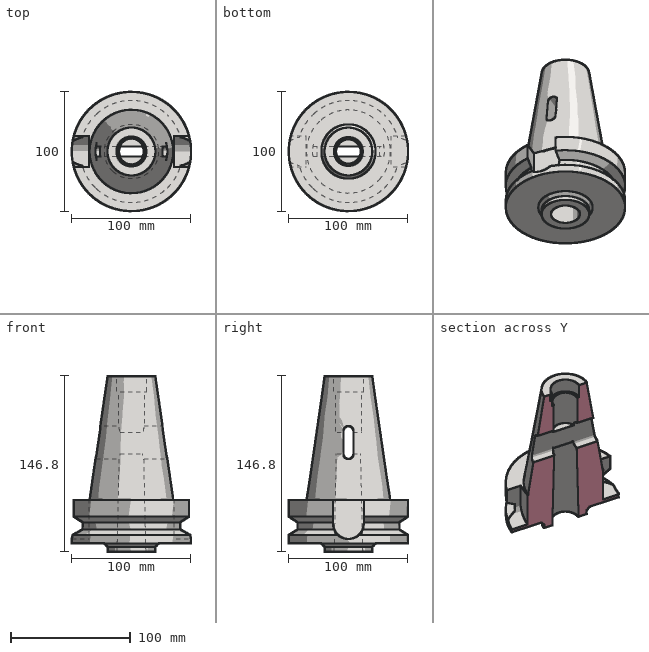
import cadquery as cq

total_height = 146.8
flange_diameter = 100.0
taper_large_diameter = 69.9
taper_ratio = 7 / 24

collar_top = 4.0
flange_bottom = 7.0
lower_rim_top = 14.1
groove_floor_bottom = 18.6
groove_floor_top = 24.7
upper_rim_bottom = 29.4
flange_top = 43.3
taper_start = 44.6

collar_diameter = 40.0
collar_cone_diameter = 45.5
groove_diameter = 85.6

keyway_width = 25.7
keyway_bottom = 10.7
keyway_floor_distance = 35.5

upper_bore_diameter = 25.0
upper_bore_depth = 13.2
lower_bore_diameter = 21.7
lower_bore_bottom = 99.8
socket_mouth_diameter = 24.1
socket_end_diameter = 20.4

slot_width = 8.2
slot_bottom = 77.7
slot_top = 105.0


def make_body():
    taper_small_diameter = taper_large_diameter - taper_ratio * (total_height - taper_start)
    profile = [
        (collar_diameter, 0),
        (collar_diameter, collar_top),
        (collar_cone_diameter, flange_bottom),
        (flange_diameter, flange_bottom),
        (flange_diameter, lower_rim_top),
        (groove_diameter, groove_floor_bottom),
        (groove_diameter, groove_floor_top),
        (flange_diameter, upper_rim_bottom),
        (flange_diameter, flange_top),
        (taper_large_diameter, flange_top),
        (taper_large_diameter, taper_start),
        (taper_small_diameter, total_height),
    ]
    outline = cq.Workplane("XZ").moveTo(0, 0)
    for diameter, level in profile:
        outline = outline.lineTo(diameter / 2, level)
    return outline.lineTo(0, total_height).close().revolve(360, (0, 0, 0), (0, 1, 0))


def make_keyway(side):
    """U-shaped cutter open at the top of the flange; side is -1 or 1 along X."""
    radius = keyway_width / 2
    arc_level = keyway_bottom + radius
    cutter_length = flange_diameter / 2
    return (
        cq.Workplane("YZ", origin=(side * keyway_floor_distance, 0, 0))
        .moveTo(-radius, flange_top)
        .lineTo(-radius, arc_level)
        .threePointArc((0, keyway_bottom), (radius, arc_level))
        .lineTo(radius, flange_top)
        .close()
        .extrude(side * cutter_length)
    )


def make_bores():
    """Stepped bore from the top and tapered socket from the bottom."""
    upper_bore_bottom = total_height - upper_bore_depth
    upper_bore = (
        cq.Workplane("XY", origin=(0, 0, upper_bore_bottom))
        .circle(upper_bore_diameter / 2)
        .extrude(upper_bore_depth)
    )
    lower_bore = (
        cq.Workplane("XY", origin=(0, 0, lower_bore_bottom))
        .circle(lower_bore_diameter / 2)
        .extrude(total_height - lower_bore_bottom)
    )
    socket_end = slot_bottom + slot_width / 2
    socket = cq.Workplane(
        cq.Solid.makeCone(socket_mouth_diameter / 2, socket_end_diameter / 2, socket_end)
    )
    return upper_bore.union(lower_bore), socket


def make_cross_slot():
    return (
        cq.Workplane("YZ")
        .center(0, (slot_bottom + slot_top) / 2)
        .slot2D(slot_top - slot_bottom, slot_width, 90)
        .extrude(taper_large_diameter / 2, both=True)
    )


result = make_body()
for side in (-1, 1):
    result = result.cut(make_keyway(side))
for bore in make_bores():
    result = result.cut(bore)
result = result.cut(make_cross_slot())